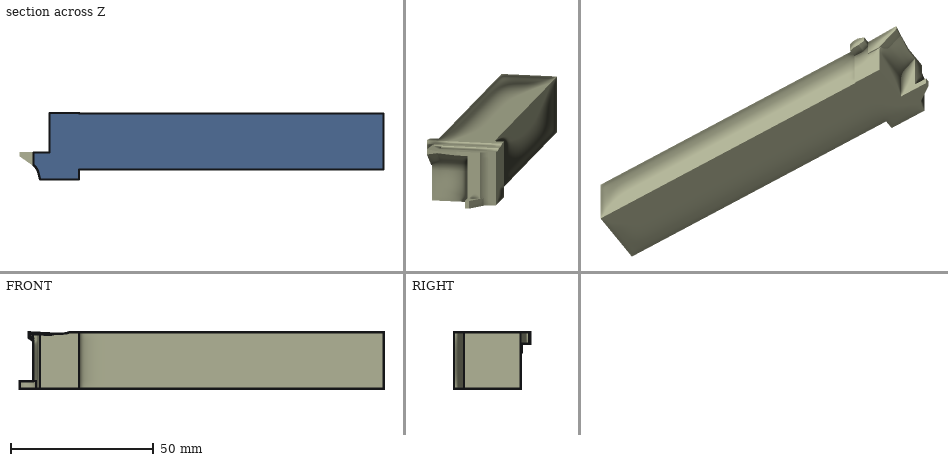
import math

import cadquery as cq


overall_length = 128.3
height = 20.0
shank_width = 20.0
head_width = 27.0
head_side = head_width / 2
head_back_x = 21.0

front_x = 4.75
front_corner_y = -8.3
facet_start_y = -10.7
corner_radius = 4.5
facet_angle = 15.0
facet_end_x = 7.2
body_side_y = 10.2
lip_kink_y = 0.3
lip_tip_x = 3.15

lip_rake = 3.0
ramp_radius = 6.3
step_height = 0.47
lower_ramp_start_x = 9.4
lower_ramp_end_x = 12.1
upper_ramp_start_x = 15.1
upper_ramp_end_x = 17.5

recess_x = 10.5
recess_side_y = -3.75
recess_radius = 5.0
recess_top_blend_z = 15.2
underside_slope = 36.0

bar_inner_y = 7.05
bar_outer_y = 10.55
bar_bottom_z = 12.8
bar_notch_end_x = 11.8
bar_top_tilt = 10.0
bar_underside_tilt = 12.0

overhang_front_height = 2.6
overhang_thickness = 4.1
overhang_end_drop = 0.55

toe_height = 2.75
toe_tip_y = -5.25
toe_angle = 55.0
toe_end_y = -10.2

middle_z = height - step_height
valley_z = middle_z - step_height
slope_rad = math.radians(underside_slope)
blend_x = recess_x - recess_radius * (1 - math.sin(slope_rad))
wall_top_z = recess_top_blend_z - recess_radius * math.cos(slope_rad)
overhang_bottom_z = height - overhang_thickness


def lip_top_z(x):
    """Height of the raked lip top, extended as a plane."""
    return valley_z + (lower_ramp_start_x - x) * math.tan(math.radians(lip_rake))


def underside_z(x):
    """Height of the sloped lip underside, extended as a plane."""
    return recess_top_blend_z + (blend_x - x) * math.tan(slope_rad)


def extrude_along_y(profile, y_from, y_to):
    """Extrude a closed XZ profile between two Y positions."""
    return profile.extrude(y_from - y_to).translate((0, y_from, 0))


def make_shank():
    length = overall_length - head_back_x
    shank = cq.Workplane("XY").box(length, shank_width, height, centered=(False, True, False))
    return shank.translate((head_back_x, 0, 0))


def make_head_plan():
    """Upright prism of the head outline, running past the body on the +Y side."""
    facet_start_x = facet_end_x - (facet_start_y + head_side) * math.tan(math.radians(facet_angle))
    lip_lean = (front_x - lip_tip_x) / (bar_outer_y - lip_kink_y)
    lip_far_x = front_x - lip_lean * (head_side - lip_kink_y)
    return (
        cq.Workplane("XY")
        .moveTo(head_back_x, -head_side)
        .lineTo(facet_end_x, -head_side)
        .lineTo(facet_start_x, facet_start_y)
        .radiusArc((front_x, front_corner_y), -corner_radius)
        .lineTo(front_x, lip_kink_y)
        .lineTo(lip_far_x, head_side)
        .lineTo(head_back_x, head_side)
        .close()
        .extrude(height)
    )


def make_stepped_block():
    """Raked lip and two ramped steps, as wide as the head body."""
    profile = (
        cq.Workplane("XZ")
        .lineTo(0, lip_top_z(0))
        .lineTo(lower_ramp_start_x, valley_z)
        .radiusArc((lower_ramp_end_x, middle_z), -ramp_radius)
        .lineTo(upper_ramp_start_x, middle_z)
        .radiusArc((upper_ramp_end_x, height), -ramp_radius)
        .lineTo(head_back_x, height)
        .lineTo(head_back_x, 0)
        .close()
    )
    return extrude_along_y(profile, -head_side, body_side_y)


def make_recess():
    """Space below the lip: sloped roof, concave fillet and upright back wall."""
    profile = (
        cq.Workplane("XZ")
        .lineTo(recess_x, 0)
        .lineTo(recess_x, wall_top_z)
        .radiusArc((blend_x, recess_top_blend_z), -recess_radius)
        .lineTo(0, underside_z(0))
        .close()
    )
    return extrude_along_y(profile, recess_side_y, head_side)


def make_bar_prism(start_z, fall_angle, side_tilt, depth):
    """Prism running towards +X and falling at fall_angle. The edge at bar_inner_y passes through
    start_z at X = 0, the tilted face starts there and depth sets the opposite, flat face."""
    fall = math.radians(fall_angle)
    plane = cq.Plane(
        origin=(0, bar_inner_y, start_z),
        xDir=(0, 1, 0),
        normal=(math.cos(fall), 0, -math.sin(fall)),
    )
    width = bar_outer_y - bar_inner_y
    tilt_offset = width * math.tan(math.radians(side_tilt))
    section = cq.Workplane(plane).lineTo(width, tilt_offset).lineTo(width, depth).lineTo(0, depth).close()
    return section.extrude(head_back_x, both=True)


def make_cutting_bar():
    """Bar at the +Y end of the lip, growing thicker towards its outer side."""
    below_top = make_bar_prism(lip_top_z(0), lip_rake, bar_top_tilt, -height)
    above_underside = make_bar_prism(underside_z(0), underside_slope, -bar_underside_tilt, height)
    envelope = cq.Workplane("XY").box(
        upper_ramp_start_x, head_width, height - bar_bottom_z, centered=(False, True, False)
    )
    return below_top.intersect(above_underside).intersect(envelope.translate((0, 0, bar_bottom_z)))


def make_clamp_overhang():
    """Head top reaching out past the body, with a sloped front foot and a bowed end."""
    front_z = height - overhang_front_height
    foot_x = upper_ramp_start_x + (front_z - overhang_bottom_z) / math.tan(slope_rad)
    profile = (
        cq.Workplane("XZ")
        .moveTo(upper_ramp_start_x, front_z)
        .lineTo(upper_ramp_start_x, middle_z)
        .radiusArc((upper_ramp_end_x, height), -ramp_radius)
        .lineTo(head_back_x, height)
        .lineTo(head_back_x, overhang_bottom_z)
        .lineTo(foot_x, overhang_bottom_z)
        .close()
    )
    bowed_end = (
        cq.Workplane("XY")
        .moveTo(upper_ramp_start_x, 0)
        .lineTo(upper_ramp_start_x, head_side - overhang_end_drop)
        .threePointArc(
            ((upper_ramp_start_x + head_back_x) / 2, head_side),
            (head_back_x, head_side - overhang_end_drop),
        )
        .lineTo(head_back_x, 0)
        .close()
        .extrude(height)
    )
    return extrude_along_y(profile, 0, head_side).intersect(bowed_end)


def make_toe():
    """Pointed toe at the base, slanted on its -Y side."""
    toe_end_x = (toe_tip_y - toe_end_y) * math.tan(math.radians(toe_angle))
    return (
        cq.Workplane("XY")
        .moveTo(0, recess_side_y)
        .lineTo(0, toe_tip_y)
        .lineTo(toe_end_x, toe_end_y)
        .lineTo(recess_x, toe_end_y)
        .lineTo(recess_x, recess_side_y)
        .close()
        .extrude(toe_height)
    )


def make_bar_notch():
    """Clears the lip and the lower ramp where the cutting bar replaces them."""
    notch = cq.Workplane("XY").box(bar_notch_end_x, head_side, height, centered=False)
    return notch.translate((0, bar_inner_y, lip_top_z(bar_notch_end_x)))


body = make_stepped_block().cut(make_recess()).cut(make_bar_notch())
head = body.union(make_cutting_bar()).intersect(make_head_plan())
result = head.union(make_clamp_overhang()).union(make_toe()).union(make_shank())